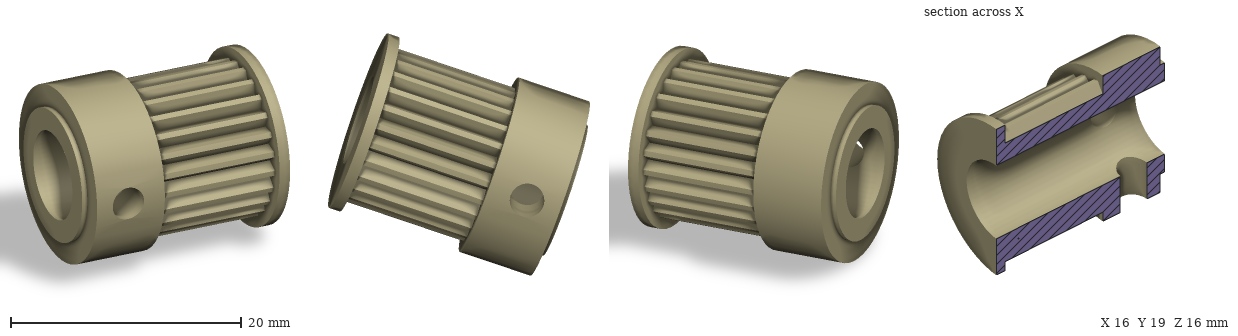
import cadquery as cq
import math

TOTAL_LENGTH = 19.0
OUTER_DIAMETER = 16.0
BORE_DIAMETER = 8.0

RING_DIAMETER = 12.0
RING_LENGTH = 0.5
HUB_LENGTH = 6.5
FLANGE_LENGTH = 1.0
DRUM_LENGTH = TOTAL_LENGTH - RING_LENGTH - HUB_LENGTH - FLANGE_LENGTH

TOOTH_COUNT = 25
TOOTH_TIP_RADIUS = 7.01
TOOTH_ROOT_RADIUS = 5.98
TOOTH_TIP_WIDTH = 0.5

SCREW_HOLE_DIAMETER = 3.0
SCREW_HOLE_FROM_HUB_FACE = 3.0

HUB_START = RING_LENGTH
DRUM_START = HUB_START + HUB_LENGTH
FLANGE_START = DRUM_START + DRUM_LENGTH


def plane_across_axis(y):
    """Plane at position y on the pulley axis, with local X along +X, local Y along +Z and normal -Y."""
    return cq.Workplane("XZ", origin=(0, y, 0))


def disc(diameter, start, length):
    return plane_across_axis(start).circle(diameter / 2).extrude(-length)


def polar_point(radius, angle):
    return (radius * math.cos(angle), radius * math.sin(angle))


def toothed_drum():
    """Drum with V grooves between narrow teeth; one tooth points straight down (-Z)."""
    pitch_angle = 2 * math.pi / TOOTH_COUNT
    half_tip_angle = math.asin(TOOTH_TIP_WIDTH / 2 / TOOTH_TIP_RADIUS)
    first_tooth_angle = -math.pi / 2

    first_root = polar_point(TOOTH_ROOT_RADIUS, first_tooth_angle - pitch_angle / 2)
    outline = plane_across_axis(DRUM_START).moveTo(*first_root)
    for tooth in range(TOOTH_COUNT):
        tooth_angle = first_tooth_angle + tooth * pitch_angle
        outline = outline.lineTo(*polar_point(TOOTH_TIP_RADIUS, tooth_angle - half_tip_angle))
        outline = outline.threePointArc(
            polar_point(TOOTH_TIP_RADIUS, tooth_angle),
            polar_point(TOOTH_TIP_RADIUS, tooth_angle + half_tip_angle),
        )
        if tooth < TOOTH_COUNT - 1:
            outline = outline.lineTo(*polar_point(TOOTH_ROOT_RADIUS, tooth_angle + pitch_angle / 2))
    return outline.close().extrude(-DRUM_LENGTH)


def screw_hole(direction):
    """Radial hole from the axis out through the hub wall, for a set screw."""
    start = cq.Vector(0, HUB_START + SCREW_HOLE_FROM_HUB_FACE, 0)
    hole = cq.Solid.makeCylinder(SCREW_HOLE_DIAMETER / 2, OUTER_DIAMETER, start, cq.Vector(*direction))
    return cq.Workplane(obj=hole)


ring = disc(RING_DIAMETER, 0, RING_LENGTH)
hub = disc(OUTER_DIAMETER, HUB_START, HUB_LENGTH)
flange = disc(OUTER_DIAMETER, FLANGE_START, FLANGE_LENGTH)
bore = disc(BORE_DIAMETER, 0, TOTAL_LENGTH)

result = ring.union(hub).union(toothed_drum()).union(flange).cut(bore)

for screw_direction in ((1, 0, 0), (0, 0, -1)):
    result = result.cut(screw_hole(screw_direction))